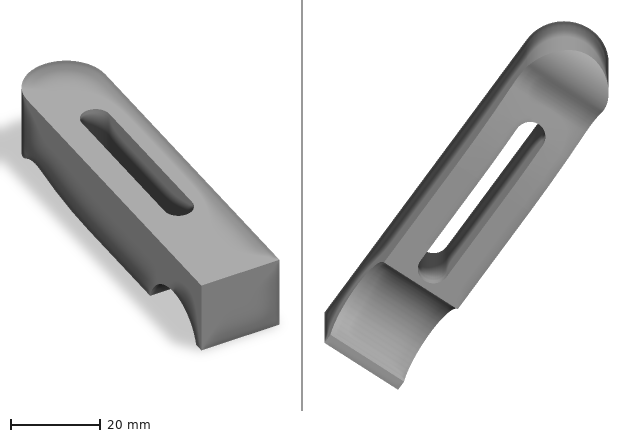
import cadquery as cq
import math

length = 90.0
width = 20.0
height = 18.0
nose_radius = width / 2

slot_start = 20.0
slot_end = 65.0
slot_width = 7.0

toe_x = nose_radius / 2
toe_radius = 8.0
hollow_radius = toe_radius
hollow_height = 2.7
ramp_radius = 100.0

notch_x = 77.0
notch_radius = 11.0
notch_height = 8.0


def arc_point(center, radius, x, side):
    """Point at x on a circle in XZ: side is 1 for its top, -1 for its bottom."""
    return x, center[1] + side * math.sqrt(radius**2 - (x - center[0])**2)


def tangent_run(radius_a, radius_b, rise):
    """X distance between the level ends of two tangent arcs that climb by rise."""
    reach = radius_a + radius_b
    return math.sqrt(reach**2 - (reach - rise)**2)


def make_profile():
    """Side outline with tangent arcs along the underside."""
    hollow_x = toe_x + tangent_run(toe_radius, hollow_radius, hollow_height)
    base_x = hollow_x + tangent_run(hollow_radius, ramp_radius, hollow_height)
    toe_center = (toe_x, toe_radius)
    hollow_center = (hollow_x, hollow_height - hollow_radius)

    toe_end_x = toe_x + (hollow_x - toe_x) * toe_radius / (toe_radius + hollow_radius)
    ramp_share = hollow_radius / (hollow_radius + ramp_radius)
    hollow_end_x = hollow_x + (base_x - hollow_x) * ramp_share
    ramp_mid_x = (hollow_end_x + base_x) / 2

    return (
        cq.Workplane("XZ")
        .moveTo(0, height)
        .lineTo(*arc_point(toe_center, toe_radius, 0, -1))
        .threePointArc((toe_x, 0), arc_point(toe_center, toe_radius, toe_end_x, -1))
        .threePointArc(
            (hollow_x, hollow_height),
            arc_point(hollow_center, hollow_radius, hollow_end_x, 1),
        )
        .threePointArc(
            arc_point((base_x, ramp_radius), ramp_radius, ramp_mid_x, -1),
            (base_x, 0),
        )
        .lineTo(length, 0)
        .lineTo(length, height)
        .close()
        .extrude(width / 2, both=True)
    )


def make_plan():
    """Bar seen from above: one full-round end and one square end."""
    return (
        cq.Workplane("XY")
        .moveTo(nose_radius, -width / 2)
        .lineTo(length, -width / 2)
        .lineTo(length, width / 2)
        .lineTo(nose_radius, width / 2)
        .threePointArc((0, 0), (nose_radius, -width / 2))
        .close()
        .extrude(height)
    )


def make_slot():
    """Round-ended slot through the full height."""
    return (
        cq.Workplane("XY")
        .center((slot_start + slot_end) / 2, 0)
        .slot2D(slot_end - slot_start, slot_width)
        .extrude(height)
    )


def make_notch():
    """Cylinder across the width, with its axis below the base."""
    return (
        cq.Workplane("XZ")
        .center(notch_x, notch_height - notch_radius)
        .circle(notch_radius)
        .extrude(width / 2, both=True)
    )


result = make_profile().intersect(make_plan()).cut(make_slot()).cut(make_notch())